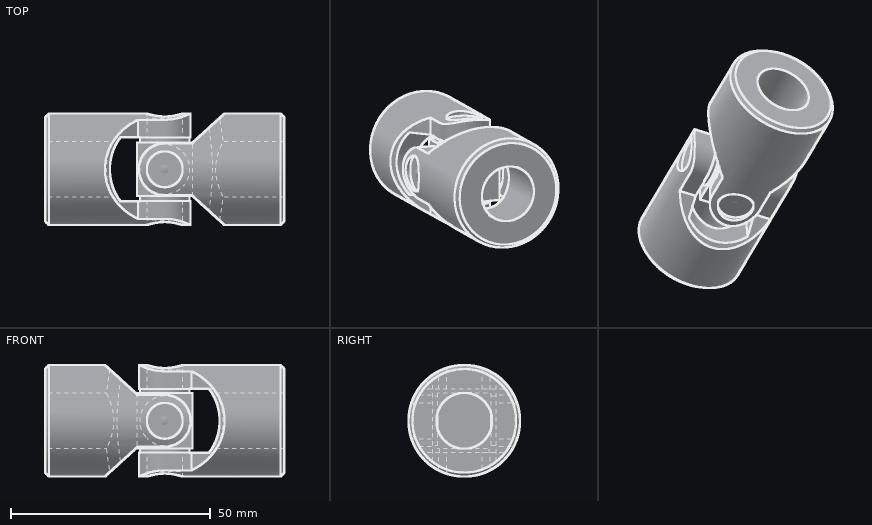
import cadquery as cq
import math

body_diameter = 28.0
yoke_length = 30.0
bore_diameter = 14.0
end_chamfer = 1.0
arm_width = 13.0
arm_tip_radius = arm_width / 2
arm_inner_height = 8.0
arm_straight_length = 6.75
flare_end = 15.0
floor_depth = 15.0
floor_radius = 12.0
floor_bow_radius = 65.0

block_size = 14.0
block_width_y = 13.5
collar_diameter = 12.5
pin_diameter = 9.0
pin_reach = 12.75
dome_diameter = 2.16
dome_height = 0.15

body_radius = body_diameter / 2


def make_fork_slot():
    """Cutter for the space between the arms, with a floor rounded in Z and slightly bowed in Y."""
    floor_centre = floor_depth - floor_radius
    floor_edge = floor_centre + math.sqrt(floor_radius**2 - arm_inner_height**2)
    bow_centre = floor_depth - floor_bow_radius
    return (
        cq.Workplane("XZ")
        .moveTo(bow_centre, -arm_inner_height)
        .lineTo(floor_edge, -arm_inner_height)
        .threePointArc((floor_depth, 0), (floor_edge, arm_inner_height))
        .lineTo(bow_centre, arm_inner_height)
        .close()
        .revolve(360, (bow_centre, -1, 0), (bow_centre, 1, 0))
    )


def make_yoke():
    """Yoke with its hub toward +X and its arms above and below the joint."""
    yoke = (
        cq.Workplane("YZ")
        .workplane(offset=-arm_tip_radius)
        .circle(body_radius)
        .extrude(yoke_length + arm_tip_radius)
        .faces(">X")
        .chamfer(end_chamfer)
    )
    arm_half = arm_width / 2
    plan = (
        cq.Workplane("XY")
        .workplane(offset=-body_radius)
        .moveTo(0, arm_half)
        .lineTo(arm_straight_length, arm_half)
        .lineTo(flare_end, body_radius)
        .lineTo(yoke_length, body_radius)
        .lineTo(yoke_length, -body_radius)
        .lineTo(flare_end, -body_radius)
        .lineTo(arm_straight_length, -arm_half)
        .lineTo(0, -arm_half)
        .threePointArc((-arm_tip_radius, 0), (0, arm_half))
        .close()
        .extrude(body_diameter)
    )
    bore = cq.Workplane("YZ").circle(bore_diameter / 2).extrude(yoke_length)
    pin_hole = cq.Workplane("XY").circle(pin_diameter / 2).extrude(body_radius, both=True)
    return yoke.intersect(plan).cut(make_fork_slot()).cut(bore).cut(pin_hole)


def make_pin_axis():
    """Collars, pins and end domes of one axis, turned about Z and symmetric about the joint."""
    dome_radius = dome_diameter / 2
    dome_sphere_radius = (dome_radius**2 + dome_height**2) / (2 * dome_height)
    dome_top = pin_reach + dome_height
    collars = cq.Workplane("XY").circle(collar_diameter / 2).extrude(arm_inner_height, both=True)
    pins = cq.Workplane("XY").circle(pin_diameter / 2).extrude(pin_reach, both=True)
    pin_axis = collars.union(pins)
    dome_core = cq.Workplane("XY").circle(dome_radius).extrude(dome_top, both=True)
    for side in (-1, 1):
        sphere_centre = side * (dome_top - dome_sphere_radius)
        dome = cq.Workplane("XY").workplane(offset=sphere_centre).sphere(dome_sphere_radius)
        pin_axis = pin_axis.union(dome.intersect(dome_core))
    return pin_axis


def make_cross():
    """Central block with a vertical pin axis and one along Y."""
    block = cq.Workplane("XY").box(block_size, block_width_y, block_size)
    vertical_axis = make_pin_axis()
    horizontal_axis = make_pin_axis().rotate((0, 0, 0), (1, 0, 0), 90)
    return block.union(vertical_axis).union(horizontal_axis)


right_yoke = make_yoke()
left_yoke = make_yoke().rotate((0, 0, 0), (1, 0, 0), 90).rotate((0, 0, 0), (0, 0, 1), 180)
cross = make_cross()

result = cq.Compound.makeCompound([right_yoke.val(), left_yoke.val(), cross.val()])